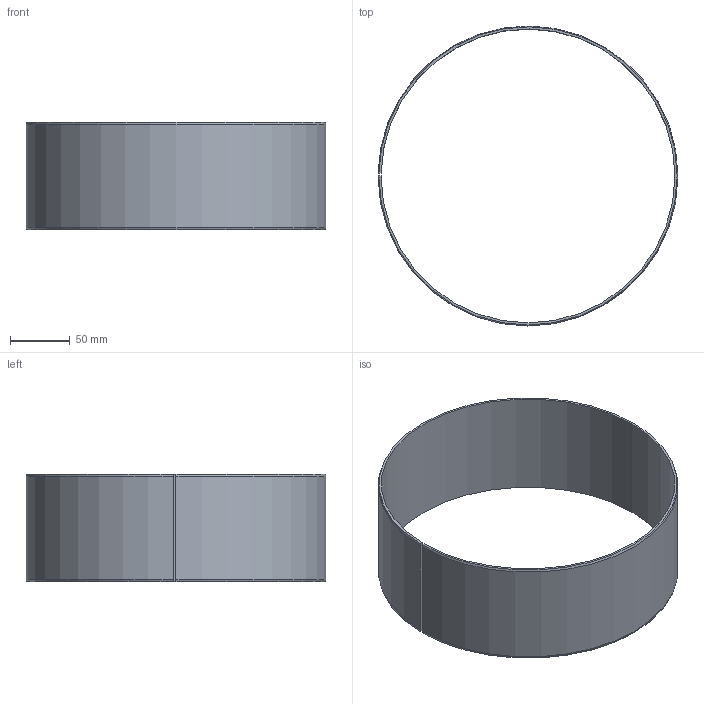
import cadquery as cq

outer_diameter = 250.0
height = 90.0
wall = 2.5
rim_chamfer = 0.65
rim_chamfer_height = 1.8
gap_width = 2.2
gap_start_y = 0.0

outer_radius = outer_diameter / 2
inner_radius = outer_radius - wall
rim_radius = outer_radius - rim_chamfer


def chamfered_band():
    """Closed thin-walled band about the Z axis, with both outer rims chamfered."""
    section = (
        cq.Workplane("XZ")
        .moveTo(inner_radius, 0)
        .lineTo(rim_radius, 0)
        .lineTo(outer_radius, rim_chamfer_height)
        .lineTo(outer_radius, height - rim_chamfer_height)
        .lineTo(rim_radius, height)
        .lineTo(inner_radius, height)
        .close()
    )
    axis_start = (0, 0, 0)
    axis_end = (0, 1, 0)
    return section.revolve(360, axis_start, axis_end)


def split_gap():
    """Slot through the wall over the full height at -X, lying on the +Y side of the X axis."""
    slot_depth = 4 * wall
    slot = cq.Workplane("XY").box(slot_depth, gap_width, height, centered=(True, False, False))
    return slot.translate((-outer_radius, gap_start_y, 0))


result = chamfered_band().cut(split_gap())